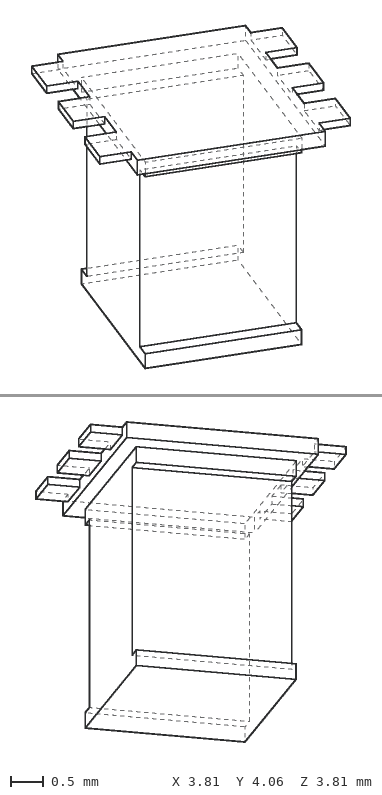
import cadquery as cq

overall_y = 4.06
wall = overall_y / 16

core_side = 10 * wall
core_height = 12 * wall
flange_x = core_side + 2 * wall

plate_x = 15 * wall
plate_y = 12 * wall

pad_width = 0.715
pad_thickness = wall / 2
pad_length = 4 * wall
pad_pitch = 5 * wall
pads_per_side = 3
first_pad_x = -plate_x / 2 + wall

core_bottom = wall
upper_flange_bottom = core_bottom + core_height
plate_bottom = upper_flange_bottom + wall
plate_top = plate_bottom + wall


def centered_block(size_x, size_y, height, bottom):
    """Block centered on the Z axis, standing on the given height."""
    block = cq.Workplane("XY").box(size_x, size_y, height, centered=(True, True, False))
    return block.translate((0, 0, bottom))


def pad(left, front):
    """Contact pad with its top face level with the plate."""
    block = cq.Workplane("XY").box(pad_width, pad_length, pad_thickness, centered=False)
    return block.translate((left, front, plate_top - pad_thickness))


result = centered_block(flange_x, core_side, wall, 0)
result = result.union(centered_block(core_side, core_side, core_height, core_bottom))
result = result.union(centered_block(flange_x, core_side, wall, upper_flange_bottom))
result = result.union(centered_block(plate_x, plate_y, wall, plate_bottom))

for front in (-overall_y / 2, overall_y / 2 - pad_length):
    for index in range(pads_per_side):
        result = result.union(pad(first_pad_x + index * pad_pitch, front))